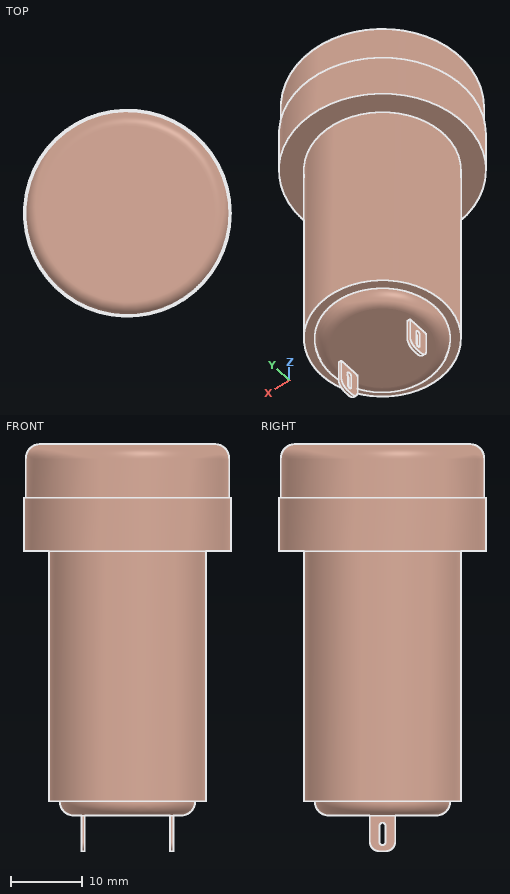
import cadquery as cq

bezel_height = 7.5
lens_height = 7.5
body_length = 35.0
end_cap_height = 2.0
terminal_length = 5.0

bezel_diameter = 29.0
lens_diameter = 28.5
lens_edge_radius = 2.0
body_diameter = 22.0
end_cap_diameter = 19.0
end_cap_edge_radius = 2.0
end_cap_overlap = 1.0

terminal_spacing = 12.4
terminal_thickness = 0.5
terminal_width = 3.6
terminal_corner_radius = 1.4
slot_width = 0.8
slot_length = 3.1
slot_tip_margin = 0.9

body_bottom = -body_length
end_cap_bottom = body_bottom - end_cap_height
terminal_tip = end_cap_bottom - terminal_length


def disc(diameter, bottom, height):
    """Cylinder on the Z axis starting at the given height."""
    return cq.Workplane("XY", origin=(0, 0, bottom)).circle(diameter / 2).extrude(height)


def make_lens():
    """Front lens with a rounded upper rim."""
    return disc(lens_diameter, bezel_height, lens_height).faces(">Z").edges().fillet(lens_edge_radius)


def make_end_cap():
    """Rear cap with a rounded lower rim, seated partly inside the body."""
    cap = disc(end_cap_diameter, end_cap_bottom, end_cap_height + end_cap_overlap)
    return cap.faces("<Z").edges().fillet(end_cap_edge_radius)


def make_terminal(x_center):
    """Upright tab in the YZ plane with rounded tip corners and a vertical slot."""
    slot_center = terminal_tip + slot_tip_margin + slot_length / 2
    tab = (
        cq.Workplane("XY", origin=(x_center, 0, terminal_tip))
        .rect(terminal_thickness, terminal_width)
        .extrude(terminal_length)
        .edges("|X and <Z")
        .fillet(terminal_corner_radius)
    )
    plane = cq.Workplane("YZ", origin=(x_center - terminal_thickness / 2, 0, 0))
    slot = plane.center(0, slot_center).slot2D(slot_length, slot_width, 90).extrude(terminal_thickness)
    return tab.cut(slot)


bezel = disc(bezel_diameter, 0, bezel_height)
body = disc(body_diameter, body_bottom, body_length)

result = bezel.union(make_lens()).union(body).union(make_end_cap())
for side in (-1, 1):
    result = result.union(make_terminal(side * terminal_spacing / 2))